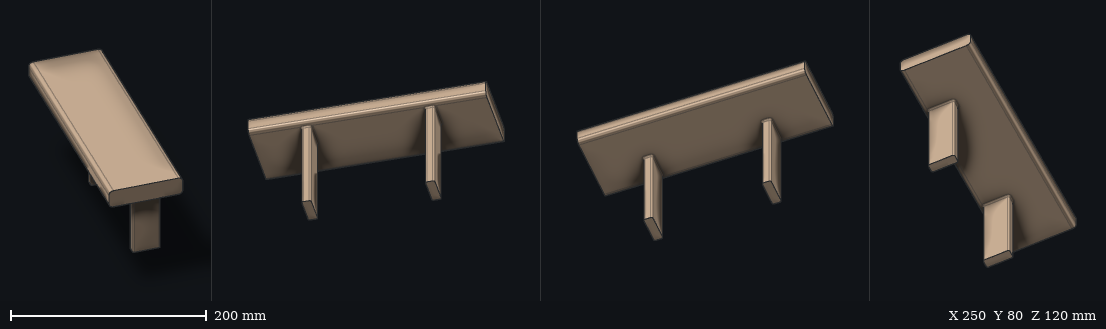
import cadquery as cq

plate_length = 250.0
plate_width = 80.0
plate_thickness = 20.0
plate_edge_radius = 5.0

leg_thickness = 10.0
leg_width = 30.0
leg_length = 100.0
leg_spacing = 130.0
leg_corner_radius = 2.0
leg_root_radius = 2.0

leg_outer_y = plate_width / 2 - plate_edge_radius
leg_center_y = leg_outer_y - leg_width / 2


def make_plate():
    """Plate standing on Z = 0, with its four long edges rounded."""
    plate = cq.Workplane("XY").box(
        plate_length, plate_width, plate_thickness, centered=(True, True, False)
    )
    return plate.edges("|X").fillet(plate_edge_radius)


def make_leg(center_x):
    """Flat leg hanging below the plate, with rounded vertical corners."""
    overlap = plate_thickness / 2
    leg = (
        cq.Workplane("XY")
        .workplane(offset=-leg_length)
        .center(center_x, leg_center_y)
        .rect(leg_thickness, leg_width)
        .extrude(leg_length + overlap)
    )
    return leg.edges("|Z").fillet(leg_corner_radius)


def round_leg_root(body, center_x):
    """Blend one leg into the underside of the plate and its rounded edge."""
    margin = 1.0
    reach_x = leg_thickness / 2 + margin
    reach_y = leg_width / 2 + margin
    root_edges = cq.selectors.BoxSelector(
        (center_x - reach_x, leg_center_y - reach_y, -margin),
        (center_x + reach_x, leg_center_y + reach_y, margin),
        boundingbox=True,
    )
    return body.edges(root_edges).fillet(leg_root_radius)


result = make_plate()
for side in (-1, 1):
    leg_x = side * leg_spacing / 2
    result = result.union(make_leg(leg_x))
    result = round_leg_root(result, leg_x)